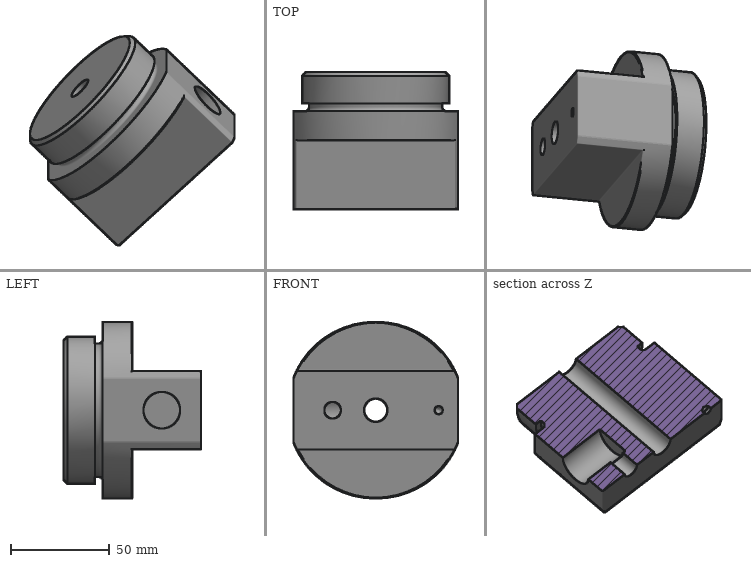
import cadquery as cq
import math

flange_diameter = 90.0
width_across_flats = 84.0
block_height = 40.0
block_length = 35.0
flange_thickness = 15.0
neck_length = 4.0
neck_diameter = 68.0
neck_fillet = 2.0
spigot_diameter = 75.0
overall_length = 70.0
spigot_chamfer = 2.0
edge_fillet = 0.45
flat_corner_chamfer = 0.4
root_fillet = 0.5

bore_diameter = 11.7
port_diameter = 8.5
port_offset = 22.0
pin_hole_diameter = 4.1
pin_hole_offset = 32.0
pin_hole_depth = 2.0
drill_point_angle = 118.0
side_hole_diameter = 18.6
side_hole_setback = 20.0
side_hole_depth = 26.0

tolerance = 0.01

flange_rear = block_length + flange_thickness
spigot_front = flange_rear + neck_length


def cylinder(diameter, start, end, x=0.0):
    """Solid cylinder parallel to Y, between two Y stations."""
    plane = cq.Plane(origin=(x, start, 0), xDir=(1, 0, 0), normal=(0, 1, 0))
    return cq.Workplane(plane).circle(diameter / 2).extrude(end - start)


def is_at_step(edge):
    """True for an edge in the plane where the block meets the flange."""
    return abs(edge.Center().y - block_length) < tolerance


def is_on_block_face(edge):
    """True for an edge at the height of the block's upper or lower face."""
    return abs(abs(edge.Center().z) - block_height / 2) < tolerance


def make_head():
    """Round flange with two side flats, milled down to a flat block at the front."""
    head = cylinder(flange_diameter, 0, flange_rear)
    envelope = cq.Workplane("XY").box(width_across_flats, 2 * flange_rear, flange_diameter)
    head = head.intersect(envelope)
    flat_corners = head.faces("<X or >X").edges("|Y")
    head = head.newObject(flat_corners.vals()).chamfer(flat_corner_chamfer)

    milled_height = flange_diameter / 2
    for side in (1, -1):
        milled_center = side * (block_height + milled_height) / 2
        cut = cq.Workplane("XY").box(flange_diameter, 2 * block_length, milled_height)
        head = head.cut(cut.translate((0, 0, milled_center)))

    arc_edges = [e for e in head.edges("%CIRCLE").vals() if is_at_step(e)]
    side_edges = [e for e in head.edges("|Y").vals() if is_on_block_face(e)]
    front_edges = head.faces("<Y").edges().vals()
    head = head.newObject(arc_edges + side_edges + front_edges).fillet(edge_fillet)

    root_edges = [e for e in head.edges("|X").vals() if is_at_step(e) and is_on_block_face(e)]
    return head.newObject(root_edges).fillet(root_fillet)


def make_spigot():
    """Chamfered rear spigot on a narrower neck that flares into the flange."""
    neck_radius = neck_diameter / 2
    spigot_radius = spigot_diameter / 2
    arc_middle = neck_fillet * (1 - math.sqrt(0.5))
    profile = (
        cq.Workplane("XY")
        .moveTo(0, flange_rear)
        .lineTo(-neck_radius - neck_fillet, flange_rear)
        .threePointArc(
            (-neck_radius - arc_middle, flange_rear + arc_middle),
            (-neck_radius, flange_rear + neck_fillet),
        )
        .lineTo(-neck_radius, spigot_front)
        .lineTo(-spigot_radius, spigot_front)
        .lineTo(-spigot_radius, overall_length - spigot_chamfer)
        .lineTo(-spigot_radius + spigot_chamfer, overall_length)
        .lineTo(0, overall_length)
        .close()
    )
    return profile.revolve(360, (0, 0), (0, 1))


def make_side_hole():
    """Blind hole bored along X into the left flat."""
    plane = cq.Plane(
        origin=(-width_across_flats / 2, side_hole_setback, 0),
        xDir=(0, 0, -1),
        normal=(1, 0, 0),
    )
    return cq.Workplane(plane).circle(side_hole_diameter / 2).extrude(side_hole_depth)


def make_pin_hole():
    """Blind drilled hole with a conical bottom."""
    radius = pin_hole_diameter / 2
    point_length = radius / math.tan(math.radians(drill_point_angle / 2))
    profile = (
        cq.Workplane("XY")
        .polyline([(0, 0), (radius, 0), (radius, pin_hole_depth), (0, pin_hole_depth + point_length)])
        .close()
    )
    return profile.revolve(360, (0, 0), (0, 1)).translate((pin_hole_offset, 0, 0))


result = make_head().union(make_spigot())
for tool in (
    cylinder(bore_diameter, 0, overall_length),
    cylinder(port_diameter, 0, side_hole_setback, x=-port_offset),
    make_pin_hole(),
    make_side_hole(),
):
    result = result.cut(tool)